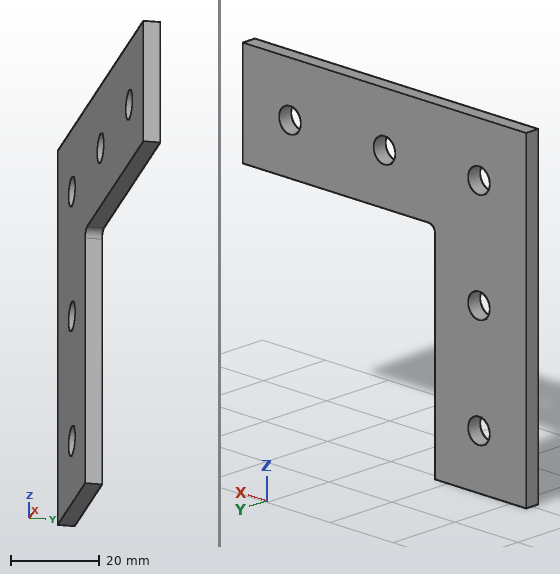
import cadquery as cq

length = 90.0
thickness = 4.0
arm_width = 29.0
inner_radius = 2.0
hole_diameter = 6.8
holes_per_arm = 3

hole_pitch = length / holes_per_arm
hole_inset = hole_pitch / 2


def make_plate():
    """L-shaped plate with its outer corner at minimum X and maximum Z."""
    inner_z = length - arm_width
    outline = (
        cq.Workplane("XZ")
        .lineTo(arm_width, 0)
        .lineTo(arm_width, inner_z - inner_radius)
        .radiusArc((arm_width + inner_radius, inner_z), inner_radius)
        .lineTo(length, inner_z)
        .lineTo(length, length)
        .lineTo(0, length)
        .close()
    )
    return outline.extrude(-thickness)


def make_holes():
    """Through-hole cylinders along both arms, sharing the corner hole."""
    top_row_z = length - hole_inset
    centers = [(hole_inset, top_row_z)]
    for step in range(1, holes_per_arm):
        offset = step * hole_pitch
        centers.append((hole_inset + offset, top_row_z))
        centers.append((hole_inset, top_row_z - offset))
    return cq.Workplane("XZ").pushPoints(centers).circle(hole_diameter / 2).extrude(-thickness)


result = make_plate().cut(make_holes())